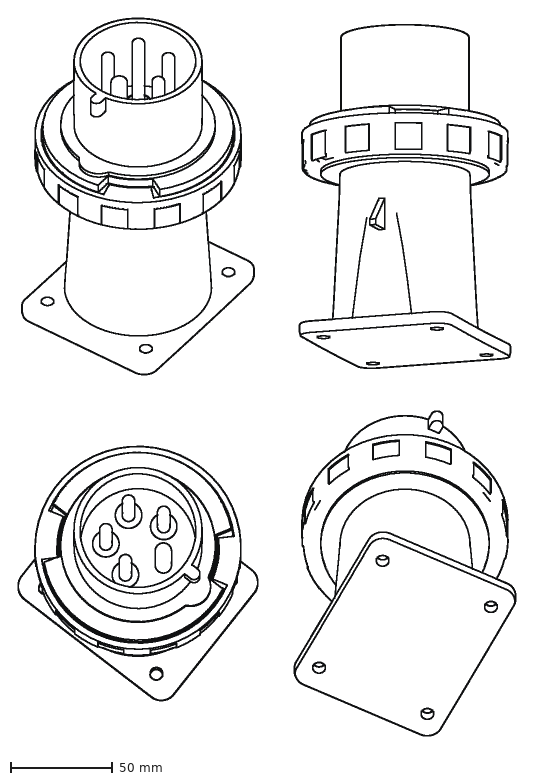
import cadquery as cq
import math

FLANGE_X = 80.5
FLANGE_Y = 95.7
FLANGE_THICKNESS = 6.0
FLANGE_BOW = 0.5
FLANGE_CORNER_R = 8.0
FLANGE_TOP_FILLET = 1.0
FLANGE_FOOT_HEIGHT = 1.9
FLANGE_FOOT_INSET = 0.5
SCREW_HOLE_D = 6.2
SCREW_SPACING_X = 60.0
SCREW_SPACING_Y = 70.0

NECK_BOTTOM_R = 36.5
NECK_TOP_R = 32.2
NECK_FLAT_Y = 32.6
RIB_TIP_Y = 45.6
RIB_BOTTOM_Z = 53.0
RIB_TIP_HEIGHT = 2.8
RIB_WIDTH = 3.1

RING_R = 102.0 / 2
RING_BOTTOM_Z = 88.7
RING_TOP_Z = 107.7
RING_BOTTOM_FILLET = 2.5
COLLAR_R = 41.7
COLLAR_BOTTOM_Z = 87.0
RING_WEB_TOP_Z = 93.7
RING_BORE_R = 48.0
TAB_INNER_R = 40.1
TAB_ANGLE = 30
TAB_CENTER_ANGLES = (120, 300)
GRIP_COUNT = 12
GRIP_START_ANGLE = 15
GRIP_DEPTH = 0.6
GRIP_TOP_Z = 102.7

TOTAL_HEIGHT = 156.1
CORE_R = 39.5
DISC_R = 47.2
DISC_BOTTOM_Z = 107.3
DISC_TOP_Z = 112.0
NOTCH_ROOT_R = 38.9
NOTCH_HALF_ANGLE = 30
NOTCH_APEX_R = 18.0
NOTCH_SIDE_SHIFTS = (1.1, 0)
LIP_R = 38.3
LIP_TOP_Z = 114.1
LIP_BUMP_R = 9.8
LIP_BUMP_Y = -33.1
SLEEVE_R = 31.7
SLEEVE_INNER_R = 28.5
KEY_WIDTH = 6.0
KEY_TIP_Y = -38.1
KEY_HEIGHT = 8.9

PIN_CIRCLE_R = 16.0
PIN_TOP_Z = 155.0
EARTH_PIN_R = 4.0
EARTH_PIN_ANGLE = -90
PHASE_PIN_R = 3.1
PHASE_PIN_OFFSETS = (-145, -75, 75, 145)
PIN_TIP_ROUNDING = 1.5
PIN_SEAT_R = 6.5
PIN_SEAT_DEPTH = 0.5


def cylinder(radius, bottom, top):
    """Upright cylinder on the part's axis."""
    return cq.Workplane("XY").workplane(offset=bottom).circle(radius).extrude(top - bottom)


def polar(radius, angle):
    """X and Y of a point given by its radius and its angle in degrees."""
    return (radius * math.cos(math.radians(angle)), radius * math.sin(math.radians(angle)))


def make_flange():
    """Rounded rectangular plate, bowed so that its middle is lowest."""
    half_y = FLANGE_Y / 2
    plate = (
        cq.Workplane("YZ")
        .moveTo(-half_y, FLANGE_BOW)
        .threePointArc((0, 0), (half_y, FLANGE_BOW))
        .lineTo(half_y, FLANGE_BOW + FLANGE_THICKNESS)
        .threePointArc((0, FLANGE_THICKNESS), (-half_y, FLANGE_BOW + FLANGE_THICKNESS))
        .close()
        .extrude(FLANGE_X / 2, both=True)
        .edges("|Z").fillet(FLANGE_CORNER_R)
    )
    plate = plate.faces(">Z").edges().fillet(FLANGE_TOP_FILLET)
    plate = plate.faces("<Z").edges().chamfer(FLANGE_FOOT_HEIGHT, FLANGE_FOOT_INSET)
    holes = (
        cq.Workplane("XY")
        .rect(SCREW_SPACING_X, SCREW_SPACING_Y, forConstruction=True)
        .vertices()
        .circle(SCREW_HOLE_D / 2)
        .extrude(FLANGE_BOW + FLANGE_THICKNESS)
    )
    return plate.cut(holes)


def make_neck():
    """Cone that narrows upwards, with a flat on its +Y side."""
    neck = (
        cq.Workplane("XZ")
        .moveTo(0, FLANGE_THICKNESS / 2)
        .lineTo(NECK_BOTTOM_R, FLANGE_THICKNESS / 2)
        .lineTo(NECK_TOP_R, COLLAR_BOTTOM_Z)
        .lineTo(NECK_TOP_R, RING_WEB_TOP_Z)
        .lineTo(0, RING_WEB_TOP_Z)
        .close()
        .revolve(360, (0, 0), (0, 1))
    )
    beyond_flat = (
        cq.Workplane("XY")
        .center(0, NECK_FLAT_Y + NECK_BOTTOM_R / 2)
        .rect(2 * NECK_BOTTOM_R, NECK_BOTTOM_R)
        .extrude(RING_WEB_TOP_Z)
    )
    return neck.cut(beyond_flat)


def make_rib():
    """Hook on the neck's flat side, with a 45 degree upper edge."""
    root_y = NECK_FLAT_Y - RIB_WIDTH
    tip_top_z = RIB_BOTTOM_Z + RIB_TIP_HEIGHT
    return (
        cq.Workplane("YZ")
        .moveTo(root_y, RIB_BOTTOM_Z)
        .lineTo(RIB_TIP_Y, RIB_BOTTOM_Z)
        .lineTo(RIB_TIP_Y, tip_top_z)
        .lineTo(root_y, tip_top_z + RIB_TIP_Y - root_y)
        .close()
        .extrude(RIB_WIDTH / 2, both=True)
    )


def sector(radius, center_angle, span, bottom, top):
    """Pie slice round the part's axis."""
    return (
        cq.Workplane("XY")
        .workplane(offset=bottom)
        .lineTo(*polar(radius, center_angle - span / 2))
        .threePointArc(polar(radius, center_angle), polar(radius, center_angle + span / 2))
        .close()
        .extrude(top - bottom)
    )


def make_ring():
    """Locking ring with grip recesses outside and two locking tabs inside."""
    ring = cylinder(RING_R, RING_BOTTOM_Z, RING_TOP_Z).faces("<Z").edges().fillet(RING_BOTTOM_FILLET)
    ring = ring.union(cylinder(COLLAR_R, COLLAR_BOTTOM_Z, RING_WEB_TOP_Z))
    ring = ring.cut(cylinder(RING_BORE_R, RING_WEB_TOP_Z, RING_TOP_Z))
    wall_middle_r = (RING_BORE_R + RING_R) / 2
    for angle in TAB_CENTER_ANGLES:
        tab = sector(wall_middle_r, angle, TAB_ANGLE, RING_WEB_TOP_Z, RING_TOP_Z)
        ring = ring.union(tab.cut(cylinder(TAB_INNER_R, RING_WEB_TOP_Z, RING_TOP_Z)))
    ring = ring.cut(cylinder(NECK_TOP_R, COLLAR_BOTTOM_Z, RING_WEB_TOP_Z))

    pitch = 360 / GRIP_COUNT
    grip_inner = cylinder(RING_R - GRIP_DEPTH, RING_BOTTOM_Z, GRIP_TOP_Z)
    for index in range(GRIP_COUNT):
        center_angle = GRIP_START_ANGLE + pitch / 4 + pitch * index
        grip = sector(RING_R + GRIP_DEPTH, center_angle, pitch / 2, RING_BOTTOM_Z, GRIP_TOP_Z)
        ring = ring.cut(grip.cut(grip_inner))
    return ring


def make_disc():
    """Disc on a stem, with two flaring notches over the ring's tabs."""
    disc = cylinder(DISC_R, DISC_BOTTOM_Z, DISC_TOP_Z)
    root = cylinder(NOTCH_ROOT_R, DISC_BOTTOM_Z, DISC_TOP_Z)
    for angle, shift in zip(TAB_CENTER_ANGLES, NOTCH_SIDE_SHIFTS):
        low_direction = angle - NOTCH_HALF_ANGLE
        high_direction = angle + NOTCH_HALF_ANGLE
        center_x, center_y = polar(NOTCH_APEX_R, angle)
        shift_x, shift_y = polar(shift, low_direction)
        notch = (
            cq.Workplane("XY")
            .workplane(offset=DISC_BOTTOM_Z)
            .center(center_x + shift_x, center_y + shift_y)
            .lineTo(*polar(DISC_R, low_direction))
            .lineTo(*polar(DISC_R, high_direction))
            .close()
            .extrude(DISC_TOP_Z - DISC_BOTTOM_Z)
        )
        disc = disc.cut(notch.cut(root))
    return disc.union(cylinder(CORE_R, RING_WEB_TOP_Z, DISC_BOTTOM_Z))


def make_lip():
    """Low round step with a bump on the key side."""
    bump = cylinder(LIP_BUMP_R, DISC_TOP_Z, LIP_TOP_Z).translate((0, LIP_BUMP_Y, 0))
    return cylinder(LIP_R, DISC_TOP_Z, LIP_TOP_Z).union(bump)


def make_sleeve():
    """Open tube with a round-ended key at its mouth."""
    key_bottom_z = TOTAL_HEIGHT - KEY_HEIGHT
    key_length = -KEY_TIP_Y - KEY_WIDTH / 2
    key_web = (
        cq.Workplane("XY")
        .workplane(offset=key_bottom_z)
        .center(0, -key_length / 2)
        .rect(KEY_WIDTH, key_length)
        .extrude(KEY_HEIGHT)
    )
    key_end = cylinder(KEY_WIDTH / 2, key_bottom_z, TOTAL_HEIGHT).translate((0, -key_length, 0))
    tube = cylinder(SLEEVE_R, LIP_TOP_Z, TOTAL_HEIGHT).union(key_web).union(key_end)
    return tube.cut(cylinder(SLEEVE_INNER_R, LIP_TOP_Z, TOTAL_HEIGHT))


def make_pin(radius, angle, bottom):
    """Contact pin with a rounded tip."""
    pin = cylinder(radius, bottom, PIN_TOP_Z).faces(">Z").edges().fillet(PIN_TIP_ROUNDING)
    return pin.translate((*polar(PIN_CIRCLE_R, angle), 0))


def make_plug():
    """Disc, lip, sleeve and contact pins in one piece."""
    plug = make_disc().union(make_lip()).union(make_sleeve())
    seat_floor_z = LIP_TOP_Z - PIN_SEAT_DEPTH
    for offset in PHASE_PIN_OFFSETS:
        angle = EARTH_PIN_ANGLE + offset
        seat = cylinder(PIN_SEAT_R, seat_floor_z, LIP_TOP_Z).translate((*polar(PIN_CIRCLE_R, angle), 0))
        plug = plug.cut(seat).union(make_pin(PHASE_PIN_R, angle, seat_floor_z))
    return plug.union(make_pin(EARTH_PIN_R, EARTH_PIN_ANGLE, LIP_TOP_Z))


housing = make_flange().union(make_neck()).union(make_rib())
ring = make_ring()
plug = make_plug()

result = cq.Compound.makeCompound([housing.val(), ring.val(), plug.val()])